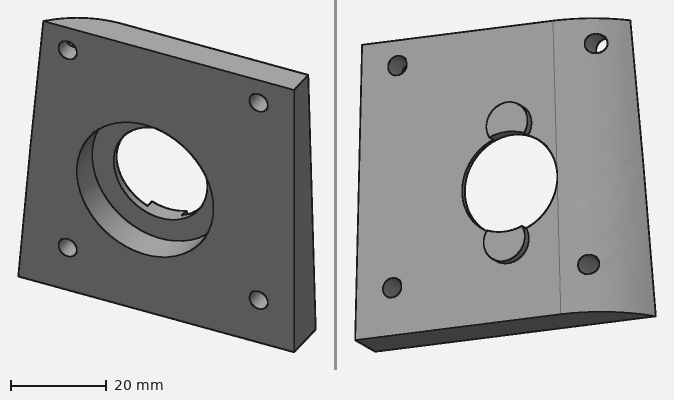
import cadquery as cq
import math

WIDTH = 64.8
HEIGHT = 65.0
BASE_THICKNESS = 10.0
TAPER_ANGLE = 3.0
EDGE_RADIUS = 20.0

BORE_X = WIDTH - 35.0
BORE_Z = 30.15
BORE_DIAMETER = 22.0
COUNTERBORE_DIAMETER = 32.1
COUNTERBORE_DEPTH = 7.0

HOLE_DIAMETER = 4.3
HOLE_SPACING_X = 44.85
HOLE_SPACING_Z = 48.9
HOLE_RIGHT_MARGIN = 8.3
HOLE_BOTTOM_MARGIN = 10.5

PAD_DIAMETER = 9.5
PAD_HEIGHT = 2.0
PAD_OFFSET = 12.75

CUT_LENGTH = 2 * BASE_THICKNESS
LEAN = HEIGHT * math.tan(math.radians(TAPER_ANGLE))


def leaning_block(back_y):
    """Block with a rounded left edge whose back face is at back_y along Z = 0.

    The bottom section is swept up along a leaning line, so the block gets thinner
    and its rounded edge moves right towards the top.  The front is then cut flat.
    """
    axis_y = back_y - EDGE_RADIUS
    axis_x = math.sqrt(EDGE_RADIUS**2 - (BASE_THICKNESS - EDGE_RADIUS) ** 2)
    half_chord = EDGE_RADIUS * math.sqrt(0.5)
    section = (
        cq.Workplane("XY")
        .moveTo(axis_x - EDGE_RADIUS, axis_y)
        .threePointArc((axis_x - half_chord, axis_y + half_chord), (axis_x, back_y))
        .lineTo(2 * WIDTH, back_y)
        .lineTo(2 * WIDTH, axis_y)
        .close()
    )
    lean_path = cq.Vector(LEAN, -LEAN, HEIGHT)
    swept = cq.Solid.extrudeLinear(section.val(), [], lean_path)
    envelope = cq.Workplane("XY").box(WIDTH, CUT_LENGTH, HEIGHT, centered=False)
    return envelope.intersect(cq.Workplane(swept))


def cylinder_along_y(x, z, diameter, length):
    """Cylinder starting on the front face and running towards the back."""
    return cq.Workplane("XZ", origin=(x, 0, z)).circle(diameter / 2).extrude(-length)


plate = leaning_block(BASE_THICKNESS)

pad_limit = leaning_block(BASE_THICKNESS + PAD_HEIGHT)
for side in (-1, 1):
    post = cylinder_along_y(BORE_X, BORE_Z + side * PAD_OFFSET, PAD_DIAMETER, CUT_LENGTH)
    plate = plate.union(post.intersect(pad_limit))

plate = plate.cut(cylinder_along_y(BORE_X, BORE_Z, BORE_DIAMETER, CUT_LENGTH))
plate = plate.cut(cylinder_along_y(BORE_X, BORE_Z, COUNTERBORE_DIAMETER, COUNTERBORE_DEPTH))

right_x = WIDTH - HOLE_RIGHT_MARGIN
for x in (right_x - HOLE_SPACING_X, right_x):
    for z in (HOLE_BOTTOM_MARGIN, HOLE_BOTTOM_MARGIN + HOLE_SPACING_Z):
        plate = plate.cut(cylinder_along_y(x, z, HOLE_DIAMETER, CUT_LENGTH))

result = plate